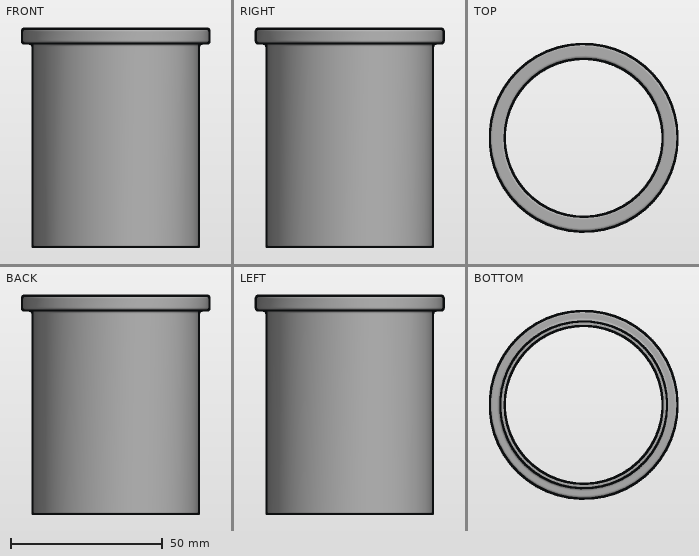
import cadquery as cq

total_height = 72.0
bore_diameter = 52.0
body_diameter = 55.0
flange_diameter = 62.0
flange_thickness = 5.0
flange_radius = 1.0
foot_radius = 0.5

flange_bottom = total_height - flange_thickness

sleeve = (
    cq.Workplane("XY")
    .circle(body_diameter / 2)
    .extrude(flange_bottom)
    .faces(">Z")
    .workplane()
    .circle(flange_diameter / 2)
    .extrude(flange_thickness)
)

sleeve = sleeve.faces(">Z").workplane().hole(bore_diameter)

flange_underside = sleeve.faces("<Z[1]")
sleeve = flange_underside.edges().fillet(flange_radius)
sleeve = sleeve.faces(">Z").edges().fillet(flange_radius)

outer_circle = cq.selectors.RadiusNthSelector(-1)
result = sleeve.faces("<Z").edges(outer_circle).fillet(foot_radius)